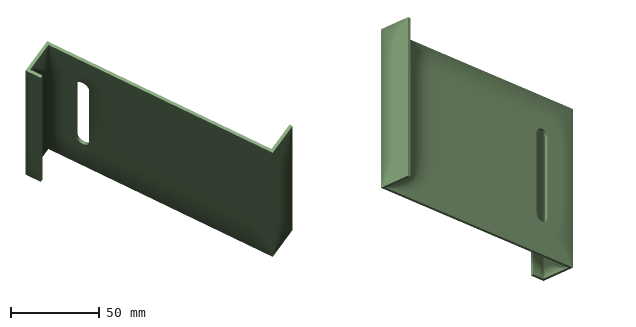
import cadquery as cq

length = 150.0
height = 100.0
depth = 44.0
thickness = 2.0

front_flange_depth = 24.0
lip_length = 10.0

slot_length = 58.5
slot_width = 8.7
slot_center_x = 24.5


def sheet_profile():
    """Closed outline of the bent sheet in XY, with the lip's front corner at the origin."""
    plate_rear = front_flange_depth
    plate_front = plate_rear - thickness
    return [
        (0, 0),
        (lip_length, 0),
        (lip_length, thickness),
        (thickness, thickness),
        (thickness, plate_front),
        (length, plate_front),
        (length, depth),
        (length - thickness, depth),
        (length - thickness, plate_rear),
        (0, plate_rear),
    ]


def slot_cutter():
    """Round-ended vertical slot, crossing only the plate."""
    return (
        cq.Workplane("XZ", origin=(slot_center_x, front_flange_depth + thickness, height / 2))
        .slot2D(slot_length, slot_width, 90)
        .extrude(3 * thickness)
    )


bracket = cq.Workplane("XY").polyline(sheet_profile()).close().extrude(height)
result = bracket.cut(slot_cutter())